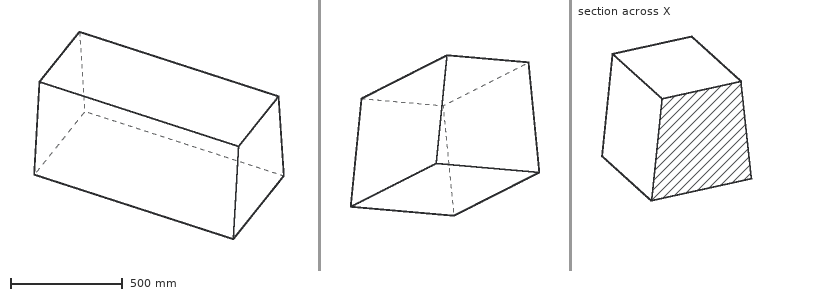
import cadquery as cq

length = 1000.0
base_width = 500.0
top_width = 395.0
height = 500.0

section = (
    cq.Workplane("YZ")
    .moveTo(-base_width / 2, 0)
    .lineTo(base_width / 2, 0)
    .lineTo(top_width / 2, height)
    .lineTo(-top_width / 2, height)
    .close()
)

result = section.extrude(length / 2, both=True)